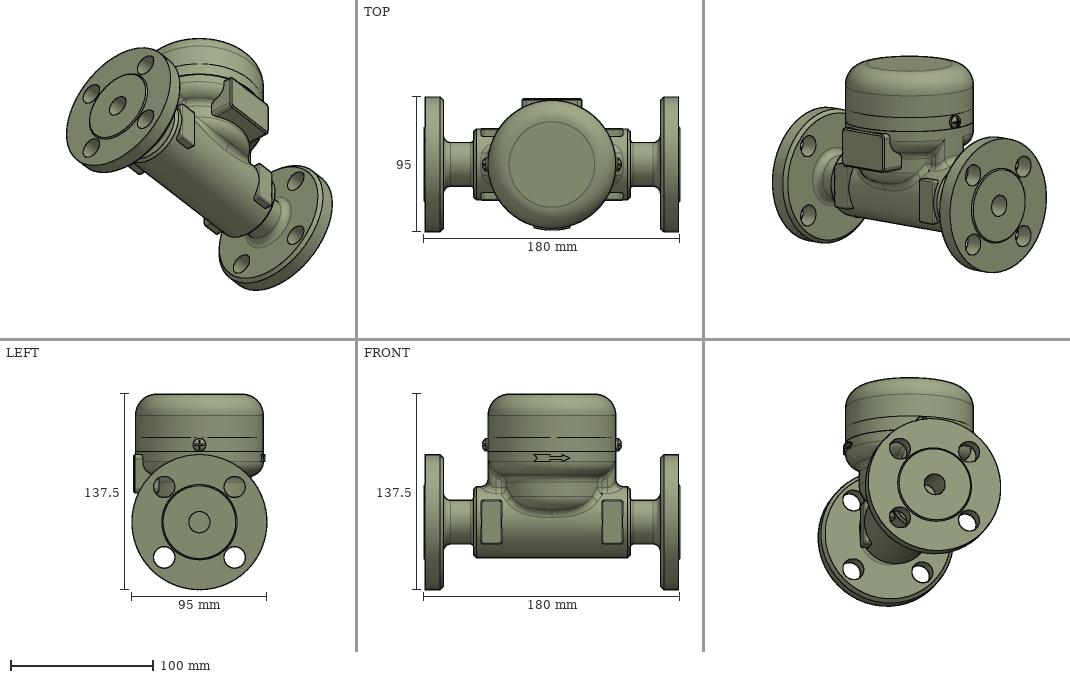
import cadquery as cq
import math

length = 180.0
height_above_axis = 90.0

flange_diameter = 95.0
flange_thickness = 13.0
flange_chamfer = 2.5
raised_face_diameter = 53.0
raised_face_height = 0.9
bolt_circle_diameter = 70.0
bolt_hole_diameter = 15.0
bolt_hole_count = 4
pipe_diameter = 31.0
pipe_flange_fillet = 5.0
pipe_barrel_fillet = 2.0
bore_diameter = 15.0

barrel_diameter = 50.0
barrel_length = 110.2
barrel_chamfer = 2.0
flat_pad_width = 14.8
flat_pad_height = 31.0
flat_pad_center_x = 42.5
flat_pad_reach = 25.2
flat_pad_corner_round = 2.0
flat_pad_edge_round = 0.9

rim_diameter = 90.0
rim_bottom_round = 10.0
rim_bottom_round_z = 42.5
neck_fillet = 5.0
bowl_diameter = 70.5
bowl_bottom_z = 8.1
bowl_bottom_round = 10.0
bowl_foot_fillet = 5.0

rib_width = 25.5
rib_corner_round = 5.0
rib_bowl_fillet = 3.6

plate_width = 42.1
plate_bottom_z = 20.3
plate_top_z = 47.5
plate_reach = 46.3
plate_corner_round = 3.0
plate_edge_chamfer = 1.0

arrow_length = 25.2
arrow_height = 5.0
arrow_center_z = 45.0
arrow_relief = 1.3
arrow_tail_length = 11.3
arrow_tail_notch = 2.2
arrow_head_length = 5.4
arrow_shaft_height = 2.2

cap_bottom_z = 49.5
cap_top_round = 15.0
spigot_diameter = 88.5
spigot_top_z = 59.4

screw_z = 54.4
screw_head_diameter = 9.0
screw_head_height = 4.0
screw_head_rim = 1.5
screw_shank_diameter = 5.0
screw_shank_length = 7.2
screw_slot_length = 6.5
screw_slot_width = 0.9
screw_slot_depth = 1.8

end_x = length / 2
flange_front_x = end_x - raised_face_height
flange_back_x = flange_front_x - flange_thickness
barrel_end_x = barrel_length / 2
barrel_radius = barrel_diameter / 2
pipe_radius = pipe_diameter / 2
rim_radius = rim_diameter / 2
bowl_radius = bowl_diameter / 2
spigot_radius = spigot_diameter / 2
tolerance = 0.02


def barrel():
    body = cq.Workplane("YZ").circle(barrel_radius).extrude(barrel_end_x, both=True)
    return body.faces("<X or >X").edges().chamfer(barrel_chamfer)


def bowl():
    """Turned bowl, rim and spigot: a rounded rim bottom runs through a concave neck into the bowl wall."""
    rim_round_r = rim_radius - rim_bottom_round
    neck_r = bowl_radius + neck_fillet
    center_distance = rim_bottom_round + neck_fillet
    neck_z = rim_bottom_round_z - math.sqrt(center_distance**2 - (neck_r - rim_round_r) ** 2)
    share = rim_bottom_round / center_distance
    touch_r = rim_round_r + share * (neck_r - rim_round_r)
    touch_z = rim_bottom_round_z + share * (neck_z - rim_bottom_round_z)
    bowl_round_r = bowl_radius - bowl_bottom_round
    bowl_round_z = bowl_bottom_z + bowl_bottom_round
    profile = (
        cq.Workplane("XZ")
        .moveTo(0, bowl_bottom_z)
        .lineTo(bowl_round_r, bowl_bottom_z)
        .radiusArc((bowl_radius, bowl_round_z), -bowl_bottom_round)
        .lineTo(bowl_radius, neck_z)
        .radiusArc((touch_r, touch_z), neck_fillet)
        .radiusArc((rim_radius, rim_bottom_round_z), -rim_bottom_round)
        .lineTo(rim_radius, cap_bottom_z)
        .lineTo(spigot_radius, cap_bottom_z)
        .lineTo(spigot_radius, spigot_top_z)
        .lineTo(0, spigot_top_z)
        .close()
    )
    return profile.revolve(360, (0, 0, 0), (0, 1, 0))


def ribs():
    """One bar across the barrel: its ends are flush with the rim and form the two ribs."""
    column = cq.Workplane("XY").circle(rim_radius).extrude(cap_bottom_z)
    bar = cq.Workplane("XY").box(length, rib_width, 2 * cap_bottom_z)
    return column.intersect(bar).edges("|Z").fillet(rib_corner_round)


def bowl_with_ribs():
    """Bowl and ribs joined, with the upright inner corners between them rounded."""
    joined = bowl().union(ribs())
    corners = [edge for edge in joined.edges("|Z").vals() if is_rib_bowl_corner(edge)]
    return joined.newObject(corners).fillet(rib_bowl_fillet)


def is_rib_bowl_corner(edge):
    center = edge.Center()
    on_bowl = abs(math.hypot(center.x, center.y) - bowl_radius) < tolerance
    on_rib = abs(abs(center.y) - rib_width / 2) < tolerance
    return on_bowl and on_rib


def is_foot_edge(edge):
    """True for the edges where the bowl and the ribs stand on the barrel."""
    middle = edge.positionAt(0.5)
    on_barrel = abs(math.hypot(middle.y, middle.z) - barrel_radius) < tolerance
    return on_barrel and middle.z > bowl_bottom_z - tolerance


def trap_core():
    joined = bowl_with_ribs().union(barrel())
    feet = [edge for edge in joined.edges().vals() if is_foot_edge(edge)]
    return joined.newObject(feet).fillet(bowl_foot_fillet)


def flat_pads():
    """Two blocks through the barrel, each leaving one flat pad on the -Y and on the +Y side."""
    return (
        cq.Workplane("XY")
        .pushPoints([(-flat_pad_center_x, 0), (flat_pad_center_x, 0)])
        .box(flat_pad_width, 2 * flat_pad_reach, flat_pad_height)
        .edges("|Y")
        .fillet(flat_pad_corner_round)
        .faces("<Y or >Y")
        .edges()
        .fillet(flat_pad_edge_round)
    )


def name_plate():
    block = (
        cq.Workplane("XY")
        .box(plate_width, plate_reach, plate_top_z - plate_bottom_z, centered=(True, False, False))
        .translate((0, 0, plate_bottom_z))
    )
    return block.edges("|Y").fillet(plate_corner_round).faces(">Y").edges().chamfer(plate_edge_chamfer)


def flow_arrow():
    """Raised arrow pointing to +X, wrapped around the rim."""
    left = -arrow_length / 2
    right = arrow_length / 2
    tail_end = left + arrow_tail_length
    head_start = right - arrow_head_length
    half_height = arrow_height / 2
    half_shaft = arrow_shaft_height / 2
    outline = [
        (left, half_height),
        (tail_end, half_height),
        (tail_end, half_shaft),
        (head_start, half_shaft),
        (head_start, half_height),
        (right, 0),
        (head_start, -half_height),
        (head_start, -half_shaft),
        (tail_end, -half_shaft),
        (tail_end, -half_height),
        (left, -half_height),
        (left + arrow_tail_notch, 0),
    ]
    arrow = (
        cq.Workplane("XZ", origin=(0, 0, arrow_center_z)).polyline(outline).close()
        .extrude(rim_radius + arrow_relief)
    )
    outer_wall = (
        cq.Workplane("XY", origin=(0, 0, arrow_center_z - half_height))
        .circle(rim_radius + arrow_relief)
        .circle(bowl_radius)
        .extrude(arrow_height)
    )
    return arrow.intersect(outer_wall)


def pipe_end():
    """Pipe, flange and raised face of the -X side, turned about the pipe axis."""
    raised_radius = raised_face_diameter / 2
    flange_radius = flange_diameter / 2
    turned = (
        cq.Workplane("XY")
        .moveTo(-end_x, 0)
        .lineTo(-end_x, raised_radius - raised_face_height)
        .lineTo(-flange_front_x, raised_radius)
        .lineTo(-flange_front_x, flange_radius)
        .lineTo(-flange_back_x - flange_chamfer, flange_radius)
        .lineTo(-flange_back_x, flange_radius - flange_chamfer)
        .lineTo(-flange_back_x, pipe_radius + pipe_flange_fillet)
        .radiusArc((-flange_back_x + pipe_flange_fillet, pipe_radius), -pipe_flange_fillet)
        .lineTo(-barrel_end_x - pipe_barrel_fillet, pipe_radius)
        .radiusArc((-barrel_end_x, pipe_radius + pipe_barrel_fillet), -pipe_barrel_fillet)
        .lineTo(-barrel_end_x, 0)
        .close()
        .revolve(360, (0, 0, 0), (1, 0, 0))
    )
    from_end = cq.Workplane("YZ", origin=(-end_x, 0, 0))
    first_bolt_angle = 180 / bolt_hole_count
    bolt_holes = (
        from_end.polarArray(bolt_circle_diameter / 2, first_bolt_angle, 360, bolt_hole_count)
        .circle(bolt_hole_diameter / 2)
        .extrude(raised_face_height + flange_thickness)
    )
    bore = from_end.circle(bore_diameter / 2).extrude(end_x - barrel_end_x)
    return turned.cut(bolt_holes).cut(bore)


def screw():
    """Round-head cross-slot screw on the -X side, pointing into the housing along +X."""
    head_radius = screw_head_diameter / 2
    shank_radius = screw_shank_diameter / 2
    seat_x = -math.sqrt(rim_radius**2 - head_radius**2)
    crown_x = -rim_radius - screw_head_height
    dome_start_x = -rim_radius - screw_head_rim
    dome_height = dome_start_x - crown_x
    dome_radius = (head_radius**2 + dome_height**2) / (2 * dome_height)
    turned = (
        cq.Workplane("XY")
        .moveTo(crown_x, 0)
        .radiusArc((dome_start_x, head_radius), dome_radius)
        .lineTo(seat_x, head_radius)
        .lineTo(seat_x, shank_radius)
        .lineTo(-rim_radius + screw_shank_length, shank_radius)
        .lineTo(-rim_radius + screw_shank_length, 0)
        .close()
        .revolve(360, (0, 0, 0), (1, 0, 0))
    )
    slots = (
        cq.Workplane("YZ", origin=(crown_x, 0, 0))
        .rect(screw_slot_length, screw_slot_width)
        .extrude(screw_slot_depth)
        .union(
            cq.Workplane("YZ", origin=(crown_x, 0, 0))
            .rect(screw_slot_width, screw_slot_length)
            .extrude(screw_slot_depth)
        )
    )
    return turned.cut(slots).translate((0, 0, screw_z))


def both_sides(part):
    """The -X part and its half-turn copy on the +X side."""
    return [part.rotate((0, 0, 0), (0, 0, 1), angle) for angle in (0, 180)]


def cap():
    recess_height = spigot_top_z - cap_bottom_z
    solid_cap = (
        cq.Workplane("XY", origin=(0, 0, cap_bottom_z))
        .circle(rim_radius)
        .extrude(height_above_axis - cap_bottom_z)
        .faces(">Z")
        .edges()
        .fillet(cap_top_round)
    )
    recess = cq.Workplane("XY", origin=(0, 0, cap_bottom_z)).circle(spigot_radius).extrude(recess_height)
    return solid_cap.cut(recess)


def housing():
    body = trap_core().union(flat_pads()).union(name_plate()).union(flow_arrow())
    for end in both_sides(pipe_end()):
        body = body.union(end)
    return body


screws = both_sides(screw())
trap_housing = housing()
trap_cap = cap()
for one_screw in screws:
    trap_housing = trap_housing.cut(one_screw)
    trap_cap = trap_cap.cut(one_screw)

result = cq.Compound.makeCompound(
    [trap_housing.val(), trap_cap.val()] + [one_screw.val() for one_screw in screws]
)